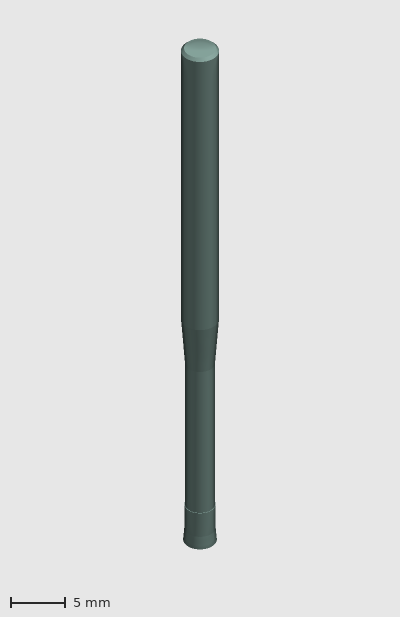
import cadquery as cq

total_length = 56.0
shank_diameter = 3.5
end_chamfer = 0.3

head_length = 4.05
flare_height = 1.35
flare_diameter = 3.1
head_diameter = 2.85

neck_diameter = 2.75
neck_top = 20.1
cone_height = 5.05
cone_top = neck_top + cone_height


def revolve_profile(points):
    """Turn a closed (radius, height) outline around the Z axis."""
    return cq.Workplane("XZ").polyline(points).close().revolve(360, (0, 0), (0, 1))


def make_head():
    """Short cylinder that flares out towards its lower end."""
    return revolve_profile([
        (0, 0),
        (flare_diameter / 2, 0),
        (head_diameter / 2, flare_height),
        (head_diameter / 2, head_length),
        (0, head_length),
    ])


def make_shank():
    """Neck, cone and chamfered shank, seated on top of the head."""
    shank_radius = shank_diameter / 2
    return revolve_profile([
        (0, head_length),
        (neck_diameter / 2, head_length),
        (neck_diameter / 2, neck_top),
        (shank_radius, cone_top),
        (shank_radius, total_length - end_chamfer),
        (shank_radius - end_chamfer, total_length),
        (0, total_length),
    ])


head = make_head()
shank = make_shank()

result = cq.Compound.makeCompound([head.val(), shank.val()])